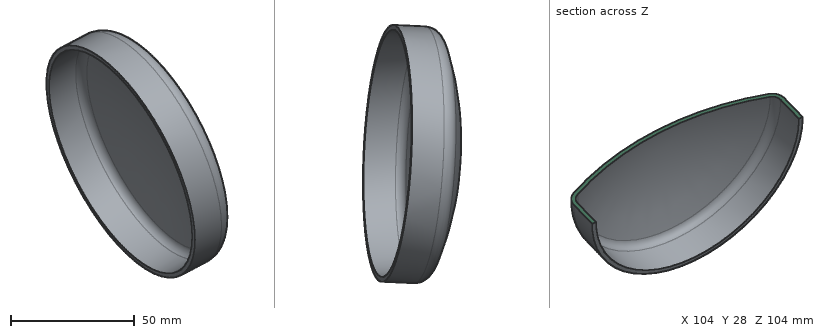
import cadquery as cq
import math

outer_radius = 52.0
total_height = 28.0
skirt_height = 13.0
knuckle_radius = 6.0
wall = 2.0

knuckle_center_x = outer_radius - knuckle_radius
crown_rise = total_height - skirt_height
crown_radius = (knuckle_center_x**2 + crown_rise**2 - knuckle_radius**2) / (
    2 * (crown_rise - knuckle_radius)
)
crown_center_y = total_height - crown_radius
tangent_angle = math.asin(knuckle_center_x / (crown_radius - knuckle_radius))


def knuckle_point(offset, angle):
    """Point on the knuckle, offset inward, at an angle measured from the Y axis."""
    radius = knuckle_radius - offset
    return (
        knuckle_center_x + radius * math.sin(angle),
        skirt_height + radius * math.cos(angle),
    )


def crown_point(offset, angle):
    """Point on the crown, offset inward, at an angle measured from the Y axis."""
    radius = crown_radius - offset
    return (radius * math.sin(angle), crown_center_y + radius * math.cos(angle))


def domed_solid(offset):
    """Solid bounded by the cap's outer surface moved inward by the offset."""
    knuckle_middle_angle = (tangent_angle + math.pi / 2) / 2
    return (
        cq.Workplane("XY")
        .moveTo(0, 0)
        .lineTo(outer_radius - offset, 0)
        .lineTo(outer_radius - offset, skirt_height)
        .threePointArc(
            knuckle_point(offset, knuckle_middle_angle),
            knuckle_point(offset, tangent_angle),
        )
        .threePointArc(crown_point(offset, tangent_angle / 2), crown_point(offset, 0))
        .close()
        .revolve(360, (0, 0, 0), (0, 1, 0))
    )


result = domed_solid(0).cut(domed_solid(wall))